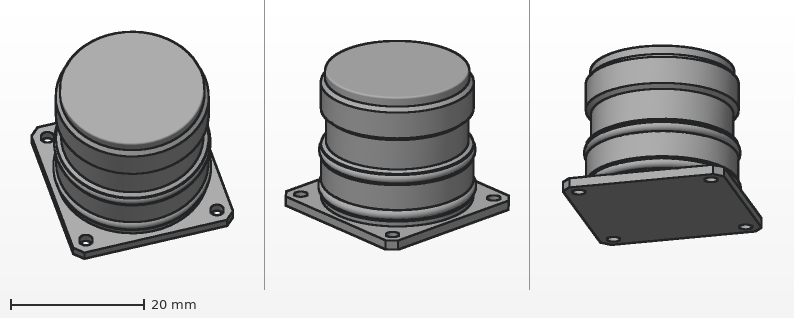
import cadquery as cq

flange_side = 25.0
flange_thickness = 1.5
flange_corner_chamfer = 1.35
hole_pitch = 20.5
hole_diameter = 2.0

full_turn = 360

land_radius = 11.45
neck_radius = 10.7
head_radius = 11.5
cap_radius = 10.85
cap_rounding = 0.3

collar_top = 10.1
neck_bottom = 10.5
neck_top = 15.3
head_bottom = 15.95
head_top = 20.15
cap_bottom = 20.85
total_height = 22.3

ring_tube_radius = 0.75
lower_groove_bottom = 2.3
lower_groove_top = 4.2
lower_groove_radius = 11.0
lower_ring_height = 3.2
lower_ring_outer_radius = 11.85
upper_groove_bottom = 8.25
upper_groove_top = 9.9
upper_groove_radius = 11.0
upper_ring_height = 9.1
upper_ring_outer_radius = 11.75


def make_flange():
    """Square plate with clipped corners and a mounting hole near each corner."""
    plate = (
        cq.Workplane("XY")
        .rect(flange_side, flange_side)
        .extrude(flange_thickness)
        .edges("|Z")
        .chamfer(flange_corner_chamfer)
    )
    return (
        plate.faces(">Z")
        .workplane()
        .rect(hole_pitch, hole_pitch, forConstruction=True)
        .vertices()
        .hole(hole_diameter)
    )


def make_body():
    """Solid of revolution: grooved lands, neck, bevelled head and rounded cap."""
    profile = (
        cq.Workplane("XZ")
        .lineTo(land_radius, 0)
        .lineTo(land_radius, lower_groove_bottom)
        .lineTo(lower_groove_radius, lower_groove_bottom)
        .lineTo(lower_groove_radius, lower_groove_top)
        .lineTo(land_radius, lower_groove_top)
        .lineTo(land_radius, upper_groove_bottom)
        .lineTo(upper_groove_radius, upper_groove_bottom)
        .lineTo(upper_groove_radius, upper_groove_top)
        .lineTo(land_radius, upper_groove_top)
        .lineTo(land_radius, collar_top)
        .lineTo(neck_radius, neck_bottom)
        .lineTo(neck_radius, neck_top)
        .lineTo(head_radius, head_bottom)
        .lineTo(head_radius, head_top)
        .lineTo(cap_radius, cap_bottom)
        .lineTo(cap_radius, total_height)
        .lineTo(0, total_height)
        .close()
    )
    body = profile.revolve(full_turn, (0, 0, 0), (0, 1, 0))
    return body.faces(">Z").edges().fillet(cap_rounding)


def make_ring(center_height, outer_radius):
    """O-ring of round section around the Z axis."""
    section_radius = outer_radius - ring_tube_radius
    return (
        cq.Workplane("XZ")
        .moveTo(-section_radius, center_height)
        .circle(ring_tube_radius)
        .revolve(full_turn, (0, 0, 0), (0, 1, 0))
    )


result = make_flange().union(make_body())
for ring_height, ring_outer_radius in (
    (lower_ring_height, lower_ring_outer_radius),
    (upper_ring_height, upper_ring_outer_radius),
):
    result = result.union(make_ring(ring_height, ring_outer_radius))